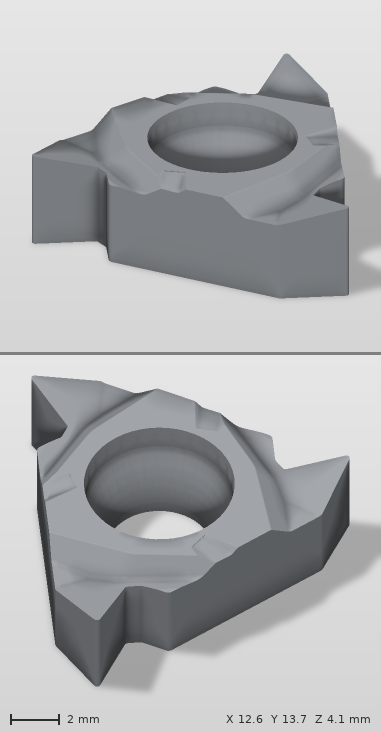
import cadquery as cq
import math


TEETH = 3
THICKNESS = 4.1
INSCRIBED_RADIUS = 4.75
REACH = 20.0

TOOTH_HALF_ANGLE = 30.0
TOOTH_TIP_REACH = 7.205
TOOTH_TIP_X = -3.265
NOTCH_Y = -4.95
NOTCH_END_X = -1.235
FLANK_SLOPE_ANGLE = 30.0
TIP_FILLET = 0.15
SHOULDER_FILLET = 0.25
ROOT_FILLET = 0.14
NOTCH_FILLET = 0.25
CORNER_FILLET = 0.24

MOUTH_RADIUS = 3.085
BORE_RADIUS = 2.2
SEAT_START_DEPTH = 1.18
SEAT_END_DEPTH = 3.58
SEAT_ARC_RADIUS = 4.06
SEAT_FILLET = 0.6

RAKE_ANGLE = 15.0
RAKE_HEIGHT_AT_NOTCH = 3.44
CORNER_LAND_HEIGHT = 3.54
LAND_FILLET = 0.4

FACET_EDGE_HEIGHT = 3.35
FACET_ANGLE = 5.0

WALL_CORNER = (-1.484, -3.745)
OUTER_WALL_HEADING = -25.0
INNER_WALL_HEADING = -7.4
OUTER_WALL_SLOPE = 40.5
INNER_WALL_SLOPE = 45.5
WALL_BLEND_RADIUS = 2.7
WALL_FOOT_FILLET = 0.3
CREST_FILLET = 0.1

BREAKER_X = (-6.3, 2.7)
BREAKER_Y = (-8.0, -2.0)

GROOVE_START = (1.27, -3.31)
GROOVE_HEADING = -45.0
GROOVE_FALL_ANGLE = 8.5
GROOVE_START_DEPTH = 0.035
GROOVE_LENGTH = 1.8
GROOVE_FLOOR_WIDTH = 0.625
GROOVE_STEEP_SIDE = 37.0
GROOVE_SHALLOW_SIDE = 20.0
GROOVE_SIDE_HEIGHT = 0.6
GROOVE_FILLET = 0.3
GROOVE_RIM_FILLET = 0.06
GROOVE_RIM_MIDDLE = (2.29, -3.45)


def tangent(degrees):
    return math.tan(math.radians(degrees))


def turned(point, degrees):
    angle = math.radians(degrees)
    x, y = point
    return (
        x * math.cos(angle) - y * math.sin(angle),
        x * math.sin(angle) + y * math.cos(angle),
    )


def nearest(x, y, z):
    return cq.selectors.NearestToPointSelector((x, y, z))


def tooth_angles():
    return [k * 360 / TEETH for k in range(TEETH)]


def third_of_outline():
    """Sharp corners of one third of the outline, each with the fillet it gets."""
    tip_cut = TIP_FILLET * (1 / math.sin(math.radians(TOOTH_HALF_ANGLE)) - 1)
    apex_y = -TOOTH_TIP_REACH - tip_cut
    side = tangent(TOOTH_HALF_ANGLE)
    shoulder = (-INSCRIBED_RADIUS, apex_y + (TOOTH_TIP_X + INSCRIBED_RADIUS) / side)
    root = (TOOTH_TIP_X + (NOTCH_Y - apex_y) * side, NOTCH_Y)
    slope = tangent(FLANK_SLOPE_ANGLE)
    flank_drop = INSCRIBED_RADIUS / math.cos(math.radians(FLANK_SLOPE_ANGLE))
    corner_x = (NOTCH_Y + slope * NOTCH_END_X + flank_drop) / (2 * slope)
    corner = (corner_x, slope * corner_x - flank_drop)
    return [
        (shoulder, SHOULDER_FILLET),
        ((TOOTH_TIP_X, apex_y), TIP_FILLET),
        (root, ROOT_FILLET),
        ((NOTCH_END_X, NOTCH_Y), NOTCH_FILLET),
        (corner, CORNER_FILLET),
    ]


def make_blank():
    corners = []
    for angle in tooth_angles():
        for point, radius in third_of_outline():
            corners.append((turned(point, angle), radius))
    outline = [point for point, _ in corners]
    blank = cq.Workplane("XY").polyline(outline).close().extrude(THICKNESS)
    for (x, y), radius in corners:
        blank = blank.edges(nearest(x, y, THICKNESS / 2)).fillet(radius)
    return blank


def seat_radius(depth):
    """Radius of the arched screw seat, which ends tangent to the bore."""
    arc_drop = math.sqrt(SEAT_ARC_RADIUS**2 - (SEAT_END_DEPTH - depth) ** 2)
    return BORE_RADIUS + SEAT_ARC_RADIUS - arc_drop


def make_hole():
    """Slightly tapered mouth, rounded into an arched seat that leads to the bore."""
    middle_depth = (SEAT_START_DEPTH + SEAT_END_DEPTH) / 2
    seat_start_z = THICKNESS - SEAT_START_DEPTH
    hole = (
        cq.Workplane("XZ")
        .moveTo(0, THICKNESS)
        .lineTo(MOUTH_RADIUS, THICKNESS)
        .lineTo(seat_radius(SEAT_START_DEPTH), seat_start_z)
        .threePointArc(
            (seat_radius(middle_depth), THICKNESS - middle_depth),
            (BORE_RADIUS, THICKNESS - SEAT_END_DEPTH),
        )
        .lineTo(BORE_RADIUS, 0)
        .lineTo(0, 0)
        .close()
        .revolve(360, (0, 0, 0), (0, 1, 0))
    )
    return hole.edges("%CIRCLE").edges(nearest(0, 0, seat_start_z)).fillet(SEAT_FILLET)


def above_rake():
    """Space above the tooth rake face and above the level land at the insert corner."""
    slope = tangent(RAKE_ANGLE)
    rake_z_at_axis = RAKE_HEIGHT_AT_NOTCH + NOTCH_Y * slope
    profile = [
        (-REACH, rake_z_at_axis + REACH * slope),
        (0, rake_z_at_axis),
        (0, REACH),
        (-REACH, REACH),
    ]
    space = cq.Workplane("YZ").polyline(profile).close().extrude(REACH, both=True)
    land_y = NOTCH_Y - (CORNER_LAND_HEIGHT - RAKE_HEIGHT_AT_NOTCH) / slope
    land = (
        cq.Workplane("XY", origin=(NOTCH_END_X, land_y, CORNER_LAND_HEIGHT))
        .rect(REACH, -REACH, centered=False)
        .extrude(REACH)
    )
    land_edge = nearest(NOTCH_END_X + REACH / 2, land_y, CORNER_LAND_HEIGHT)
    return space.union(land).edges(land_edge).fillet(LAND_FILLET)


def above_facet():
    slope = tangent(FACET_ANGLE)
    profile = [
        (-INSCRIBED_RADIUS - REACH, FACET_EDGE_HEIGHT + REACH * slope),
        (-INSCRIBED_RADIUS + REACH, FACET_EDGE_HEIGHT - REACH * slope),
        (-INSCRIBED_RADIUS + REACH, REACH),
        (-INSCRIBED_RADIUS - REACH, REACH),
    ]
    return cq.Workplane("XZ").polyline(profile).close().extrude(REACH, both=True)


def behind_wall(heading, slope):
    """Space below the top face and on the hole side of one sloping wall."""
    plane = cq.Plane(
        origin=(*WALL_CORNER, THICKNESS),
        xDir=(*turned((0, -1), heading), 0),
        normal=(*turned((-1, 0), heading), 0),
    )
    profile = [
        (0, 0),
        (THICKNESS / tangent(slope), -THICKNESS),
        (-REACH, -THICKNESS),
        (-REACH, 0),
    ]
    return cq.Workplane(plane).polyline(profile).close().extrude(REACH, both=True)


def make_island():
    """Raised middle of the insert behind both walls, with rounded ridge and crest."""
    outer = behind_wall(OUTER_WALL_HEADING, OUTER_WALL_SLOPE)
    inner = behind_wall(INNER_WALL_HEADING, INNER_WALL_SLOPE)
    at_corner = nearest(*WALL_CORNER, THICKNESS)
    island = outer.intersect(inner).edges("not #Z").edges(at_corner).fillet(WALL_BLEND_RADIUS)
    return island.faces(">Z").edges(at_corner).fillet(CREST_FILLET)


def make_chip_breaker():
    """Space above the rake face and the facet, in front of the two walls."""
    around_tooth = (
        cq.Workplane("XY")
        .moveTo(BREAKER_X[0], BREAKER_Y[0])
        .rect(BREAKER_X[1] - BREAKER_X[0], BREAKER_Y[1] - BREAKER_Y[0], centered=False)
        .extrude(REACH)
    )
    breaker = around_tooth.intersect(above_rake()).intersect(above_facet()).cut(make_island())
    inset = 0.2
    low_edges = cq.selectors.BoxSelector(
        (BREAKER_X[0] + inset, NOTCH_Y, 0),
        (BREAKER_X[1] - inset, BREAKER_Y[1] - inset, RAKE_HEIGHT_AT_NOTCH),
    )
    return breaker.edges(low_edges).fillet(WALL_FOOT_FILLET)


def make_groove():
    """Trapezoid with rounded floor corners, run along a line that falls to the flank."""
    along_x, along_y = turned((1, 0), GROOVE_HEADING)
    plane = cq.Plane(
        origin=(*GROOVE_START, THICKNESS - GROOVE_START_DEPTH),
        xDir=(-along_y, along_x, 0),
        normal=(along_x, along_y, -tangent(GROOVE_FALL_ANGLE)),
    )
    steep_foot = GROOVE_FLOOR_WIDTH / 2 + GROOVE_FILLET * tangent(GROOVE_STEEP_SIDE / 2)
    shallow_foot = GROOVE_FLOOR_WIDTH / 2 + GROOVE_FILLET * tangent(GROOVE_SHALLOW_SIDE / 2)
    profile = [
        (-shallow_foot, 0),
        (steep_foot, 0),
        (steep_foot + GROOVE_SIDE_HEIGHT / tangent(GROOVE_STEEP_SIDE), GROOVE_SIDE_HEIGHT),
        (-shallow_foot - GROOVE_SIDE_HEIGHT / tangent(GROOVE_SHALLOW_SIDE), GROOVE_SIDE_HEIGHT),
    ]
    groove = cq.Workplane(plane).polyline(profile).close().extrude(GROOVE_LENGTH)
    lengthwise = cq.selectors.ParallelDirSelector(plane.zDir)
    lowest = cq.selectors.CenterNthSelector(plane.yDir, 0)
    return groove.edges(lengthwise).edges(lowest).fillet(GROOVE_FILLET)


def cut_around(body, tool):
    for angle in tooth_angles():
        body = body.cut(tool.rotate((0, 0, 0), (0, 0, 1), angle))
    return body


def round_groove_rims(body):
    for angle in tooth_angles():
        rim = nearest(*turned(GROOVE_RIM_MIDDLE, angle), THICKNESS)
        body = body.edges(rim).fillet(GROOVE_RIM_FILLET)
    return body


insert = make_blank().cut(make_hole())
insert = cut_around(insert, make_chip_breaker())
insert = cut_around(insert, make_groove())
result = round_groove_rims(insert)